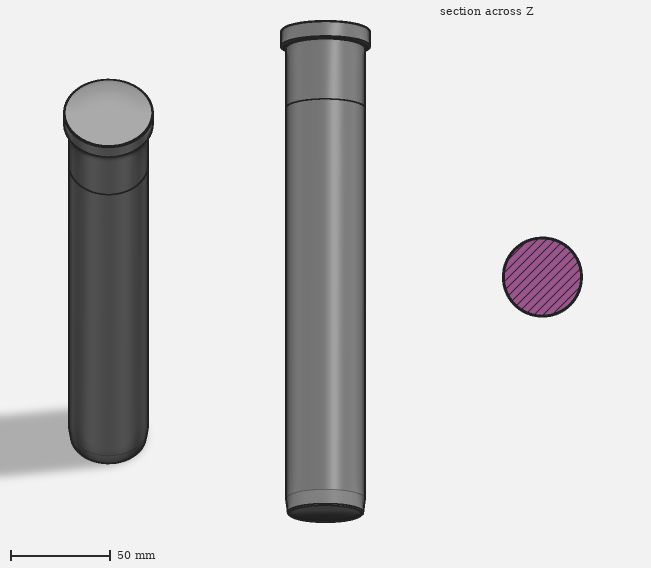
import cadquery as cq

TOTAL_LENGTH = 250.0
HEAD_DIAMETER = 45.0
HEAD_HEIGHT = 8.0
SHAFT_DIAMETER = 40.0
FITTED_LENGTH = 40.0
LEAD_IN_HEIGHT = 8.0
LEAD_IN_INSET = 1.0
HEAD_EDGE_CHAMFER = 0.5
UNDERCUT_HEIGHT = 0.8
UNDERCUT_DEPTH = 0.5
FOOT_CHAMFER = 0.8

shaft_radius = SHAFT_DIAMETER / 2
foot_radius = shaft_radius - LEAD_IN_INSET
joint_z = TOTAL_LENGTH - FITTED_LENGTH
flange_z = TOTAL_LENGTH - HEAD_HEIGHT


def make_head():
    """Flanged head with the short fitted length of shaft below it, relieved under the flange."""
    fitted_shaft = cq.Workplane("XY", origin=(0, 0, joint_z)).circle(shaft_radius).extrude(FITTED_LENGTH)
    flange = (
        cq.Workplane("XY", origin=(0, 0, flange_z))
        .circle(HEAD_DIAMETER / 2)
        .extrude(HEAD_HEIGHT)
        .faces(">Z")
        .chamfer(HEAD_EDGE_CHAMFER)
    )
    undercut = (
        cq.Workplane("XY", origin=(0, 0, flange_z - UNDERCUT_HEIGHT))
        .circle(shaft_radius)
        .circle(shaft_radius - UNDERCUT_DEPTH)
        .extrude(UNDERCUT_HEIGHT)
    )
    return fitted_shaft.union(flange).cut(undercut)


def make_shaft():
    """Long plain shaft that tapers to its chamfered foot."""
    return (
        cq.Workplane("XZ")
        .lineTo(foot_radius, 0)
        .lineTo(shaft_radius, LEAD_IN_HEIGHT)
        .lineTo(shaft_radius, joint_z)
        .lineTo(0, joint_z)
        .close()
        .revolve(360, (0, 0), (0, 1))
        .faces("<Z")
        .chamfer(FOOT_CHAMFER)
    )


head = make_head()
shaft = make_shaft()

result = cq.Compound.makeCompound([head.val(), shaft.val()])